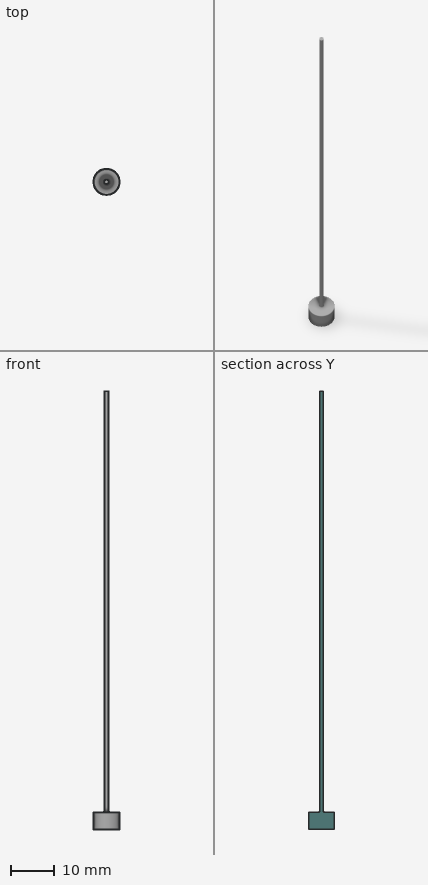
import cadquery as cq

total_length = 100.0
head_diameter = 6.0
head_height = 4.0
head_edge_radius = 0.2
rod_diameter = 1.0
rod_root_radius = 0.25

head = (
    cq.Workplane("XY")
    .circle(head_diameter / 2)
    .extrude(head_height)
    .edges("%CIRCLE")
    .fillet(head_edge_radius)
)

rod = (
    cq.Workplane("XY")
    .workplane(offset=head_height)
    .circle(rod_diameter / 2)
    .extrude(total_length - head_height)
)

root_reach = rod_diameter
root_edge = cq.selectors.BoxSelector(
    (-root_reach, -root_reach, head_height - rod_root_radius),
    (root_reach, root_reach, head_height + rod_root_radius),
)
result = head.union(rod).edges(root_edge).fillet(rod_root_radius)